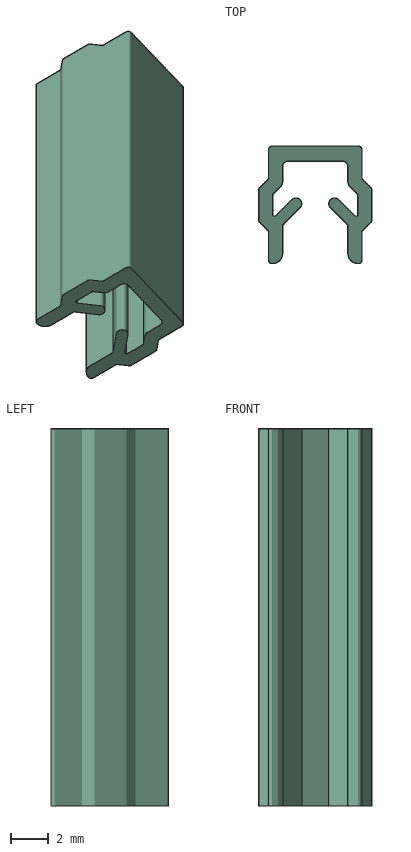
import cadquery as cq
import math

length = 20.0
width = 6.0
depth = 6.25

wall = 0.75
web_thickness = 0.82
bulge_step = 0.52
bulge_outer = width / 2
bulge_inner = bulge_outer - wall
leg_outer = bulge_outer - bulge_step
leg_inner = leg_outer - wall

back = depth / 2
front = -depth / 2
upper_bend = back - 1.75
lower_bend = back - 4.52
bend_offset = wall * math.tan(math.radians(22.5))
inner_bend = upper_bend - bend_offset

barb_width = 0.62
barb_tip_x = 1.02
barb_tip_y = back - 3.05
barb_root_x = (leg_inner + leg_outer) / 2
barb_root_y = barb_tip_y - (barb_root_x - barb_tip_x)
pocket_floor = back - 3.7

corner_radius = 0.2
inner_corner_radius = 0.25
bulge_radius = 0.15
outer_bend_radius = 0.15
inner_bend_radius = 0.4
foot_outer_radius = 0.2
foot_inner_radius = wall - foot_outer_radius


def round_edges(body, points, radius):
    """Round the lengthwise edges passing through the given profile points."""
    for x, y in points:
        edge = cq.selectors.NearestToPointSelector((x, y, 0))
        body = body.edges("|Z").edges(edge).fillet(radius)
    return body


def make_half_channel():
    """Half of the web and the +X wall, without its barb."""
    outline = [
        (0, back),
        (leg_outer, back),
        (leg_outer, upper_bend),
        (bulge_outer, upper_bend - bulge_step),
        (bulge_outer, lower_bend + bulge_step),
        (leg_outer, lower_bend),
        (leg_outer, front + foot_outer_radius),
    ]
    foot_x = leg_outer - foot_outer_radius
    inner_outline = [
        (leg_inner, pocket_floor),
        (bulge_inner, pocket_floor),
        (bulge_inner, inner_bend - bulge_step),
        (leg_inner, inner_bend),
        (leg_inner, back - web_thickness),
        (0, back - web_thickness),
    ]
    profile = cq.Workplane("XY").workplane(offset=-length / 2).polyline(outline)
    profile = profile.tangentArcPoint((foot_x, front), relative=False)
    profile = profile.tangentArcPoint((leg_inner, front + foot_inner_radius), relative=False)
    for point in inner_outline:
        profile = profile.lineTo(*point)
    body = profile.close().extrude(length)

    body = round_edges(body, [(leg_outer, back)], corner_radius)
    body = round_edges(body, [(leg_inner, back - web_thickness)], inner_corner_radius)
    bulge_corners = [(bulge_outer, upper_bend - bulge_step), (bulge_outer, lower_bend + bulge_step)]
    body = round_edges(body, bulge_corners, bulge_radius)
    outer_bends = [(leg_outer, upper_bend), (leg_outer, lower_bend)]
    body = round_edges(body, outer_bends, outer_bend_radius)
    return round_edges(body, [(leg_inner, inner_bend)], inner_bend_radius)


def make_barb():
    """Round-tipped barb of the +X wall, with its root buried in the wall."""
    run = barb_root_x - barb_tip_x
    span = run * math.sqrt(2)
    return (
        cq.Workplane("XY")
        .workplane(offset=-length / 2)
        .center((barb_tip_x + barb_root_x) / 2, (barb_tip_y + barb_root_y) / 2)
        .slot2D(span + barb_width, barb_width, -45)
        .extrude(length)
    )


half = make_half_channel().union(make_barb())
result = half.union(half.mirror("YZ")).clean()